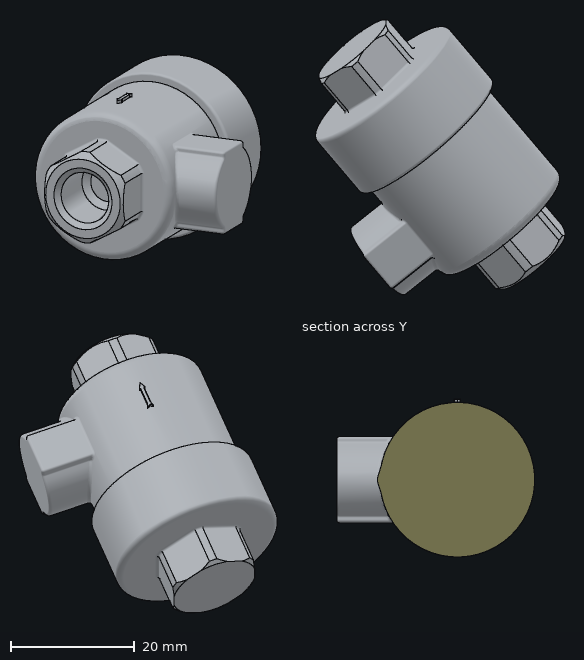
import cadquery as cq
import math


cap_diameter = 28.0
cap_length = 12.0
cap_rear_round = 1.0
barrel_radius = 12.5
barrel_length = 19.5
barrel_end_round = 1.5

hex_sides = 6
hex_across_flats = 14.0
rear_hex_corner_radius = 7.75
rear_hex_length = 7.0
rear_hex_chamfer = 0.6
front_hex_corner_radius = 7.7
front_hex_length = 7.5
front_hex_chamfer = 1.05

bore_radius = 4.25
bore_mouth_radius = 5.15
bore_floor_radius = 3.0
bore_depth = 9.48
bore_mouth_slope = 40.0
bore_floor_slope = 30.0

port_radius = hex_across_flats / 2
port_reach = 19.5
port_y = -11.0
port_block_width = 7.5

arrow_height = 0.5
arrow_tail_y = -9.2
arrow_length = 4.7
arrow_head_length = 1.05
arrow_half_width = 0.5
arrow_shaft_half_width = 0.3
arrow_notch = 0.28
arrow_tail_length = 0.5
arrow_embed = 0.45

edge_round = 0.5

pick_margin = 0.05

cap_rear_y = cap_length
barrel_front_y = -barrel_length
front_end_y = barrel_front_y - front_hex_length


def y_cylinder(radius, y_start, y_end):
    """Solid cylinder on the main axis from y_start toward a smaller y_end."""
    return cq.Workplane("XZ", origin=(0, y_start, 0)).circle(radius).extrude(y_start - y_end)


def hex_end(base_y, length, corner_radius, chamfer, direction):
    """Hexagon with turned corners and chamfered free end, growing along +Y (1) or -Y (-1)."""
    plane = cq.Plane(origin=(0, base_y, 0), xDir=(0, 0, 1), normal=(0, direction, 0))
    corner_to_corner = hex_across_flats / math.cos(math.pi / hex_sides)
    prism = cq.Workplane(plane).polygon(hex_sides, corner_to_corner).extrude(length)
    turned = cq.Workplane(plane).circle(corner_radius).extrude(length)
    free_end = ">Y" if direction > 0 else "<Y"
    turned = turned.faces(free_end).chamfer(chamfer)
    return prism.intersect(turned)


def edges_inside(body, low_corner, high_corner):
    """Edges lying wholly inside a box, grown a little on every side."""
    low = tuple(value - pick_margin for value in low_corner)
    high = tuple(value + pick_margin for value in high_corner)
    return body.edges(cq.selectors.BoxSelector(low, high, boundingbox=True))


def round_hex_root(body, base_y, corner_radius):
    """Blend a hexagon into the end face it stands on."""
    reach = corner_radius + edge_round
    root = edges_inside(body, (-reach, base_y, -reach), (reach, base_y, reach))
    return root.fillet(edge_round)


def make_port():
    """Side port with rounded block corners, blended valleys and a rounded rim."""
    port = cq.Workplane("YZ").center(port_y, 0).circle(port_radius).extrude(port_reach)
    block = (
        cq.Workplane("YZ")
        .center(port_y, 0)
        .rect(port_block_width, 2 * port_radius)
        .extrude(port_reach)
    )
    port = port.union(block)
    port = port.edges("|X").fillet(edge_round)
    return port.faces(">X").edges().fillet(edge_round)


def make_arrow():
    """Raised arrow with a fish-tail end, bedded in the top of the barrel."""
    tip_y = arrow_tail_y - arrow_length
    barb_y = tip_y + arrow_head_length
    side = [
        (arrow_half_width, arrow_tail_y),
        (arrow_shaft_half_width, arrow_tail_y - arrow_tail_length),
        (arrow_shaft_half_width, barb_y),
        (arrow_half_width, barb_y),
    ]
    mirrored = [(-x, y) for x, y in reversed(side)]
    outline = [(0, arrow_tail_y - arrow_notch)] + side + [(0, tip_y)] + mirrored
    return (
        cq.Workplane("XY", origin=(0, 0, barrel_radius - arrow_embed))
        .polyline(outline)
        .close()
        .extrude(arrow_embed + arrow_height)
    )


def make_bore():
    """Chamfered bore with a conical step down to a small flat floor."""
    mouth_depth = (bore_mouth_radius - bore_radius) * math.tan(math.radians(bore_mouth_slope))
    cone_depth = (bore_radius - bore_floor_radius) * math.tan(math.radians(bore_floor_slope))
    floor_y = front_end_y + bore_depth
    return (
        cq.Workplane("XY")
        .moveTo(0, front_end_y)
        .lineTo(bore_mouth_radius, front_end_y)
        .lineTo(bore_radius, front_end_y + mouth_depth)
        .lineTo(bore_radius, floor_y - cone_depth)
        .lineTo(bore_floor_radius, floor_y)
        .lineTo(0, floor_y)
        .close()
        .revolve(360, (0, 0, 0), (0, 1, 0))
    )


cap = y_cylinder(cap_diameter / 2, cap_rear_y, 0)
cap = cap.faces(">Y").edges().fillet(cap_rear_round)
cap = cap.faces("<Y").edges().fillet(edge_round)

barrel = y_cylinder(barrel_radius, cap_rear_y / 2, barrel_front_y)
barrel = barrel.faces("<Y").edges().fillet(barrel_end_round)
barrel = barrel.union(make_port())
port_root = edges_inside(
    barrel,
    (barrel_radius / 2, port_y - port_radius, -port_radius),
    (barrel_radius, port_y + port_radius, port_radius),
)
barrel = port_root.fillet(edge_round)

rear_hex = hex_end(cap_rear_y, rear_hex_length, rear_hex_corner_radius, rear_hex_chamfer, 1)
front_hex = hex_end(barrel_front_y, front_hex_length, front_hex_corner_radius, front_hex_chamfer, -1)
body = cap.union(barrel).union(rear_hex).union(front_hex)
body = round_hex_root(body, cap_rear_y, rear_hex_corner_radius)
body = round_hex_root(body, barrel_front_y, front_hex_corner_radius)

result = body.union(make_arrow()).cut(make_bore())